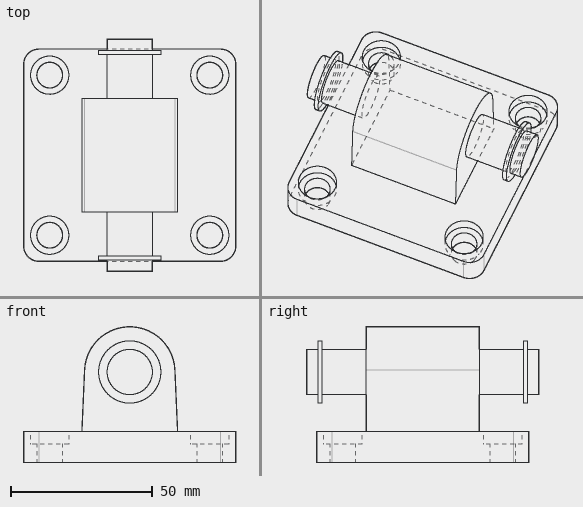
import cadquery as cq
import math

plate_side = 75.0
plate_thickness = 11.0
plate_corner_radius = 5.5

hole_spacing = 56.5
hole_diameter = 9.0
counterbore_diameter = 13.5
counterbore_depth = 4.5

overall_height = 48.0
block_length = 40.0
block_draft_angle = math.radians(2.5)
block_top_radius = 16.0
pin_axis_height = overall_height - block_top_radius

pin_diameter = 16.0
pin_length = 82.0
ring_diameter = 22.0
ring_thickness = 1.5
ring_end_gap = 4.0


def cylinder_along_y(diameter, length, center_y):
    """Cylinder on the pin axis, centred at center_y."""
    start = cq.Workplane("XZ", origin=(0, center_y + length / 2, pin_axis_height))
    return start.circle(diameter / 2).extrude(length)


def make_plate():
    plate = cq.Workplane("XY").rect(plate_side, plate_side).extrude(plate_thickness)
    plate = plate.edges("|Z").fillet(plate_corner_radius)
    hole_centers = plate.faces(">Z").workplane().rect(hole_spacing, hole_spacing, forConstruction=True)
    return hole_centers.vertices().cboreHole(hole_diameter, counterbore_diameter, counterbore_depth)


def make_block():
    tangent_x = block_top_radius * math.cos(block_draft_angle)
    tangent_z = pin_axis_height + block_top_radius * math.sin(block_draft_angle)
    foot_x = tangent_x + (tangent_z - plate_thickness) * math.tan(block_draft_angle)

    profile = (
        cq.Workplane("XZ", origin=(0, block_length / 2, 0))
        .moveTo(-foot_x, plate_thickness)
        .lineTo(foot_x, plate_thickness)
        .lineTo(tangent_x, tangent_z)
        .threePointArc((0, overall_height), (-tangent_x, tangent_z))
        .close()
    )
    return profile.extrude(block_length)


def make_pin():
    pin = cylinder_along_y(pin_diameter, pin_length, 0)
    ring_center = pin_length / 2 - ring_end_gap - ring_thickness / 2
    for side in (-1, 1):
        pin = pin.union(cylinder_along_y(ring_diameter, ring_thickness, side * ring_center))
    return pin


result = make_plate().union(make_block()).union(make_pin())